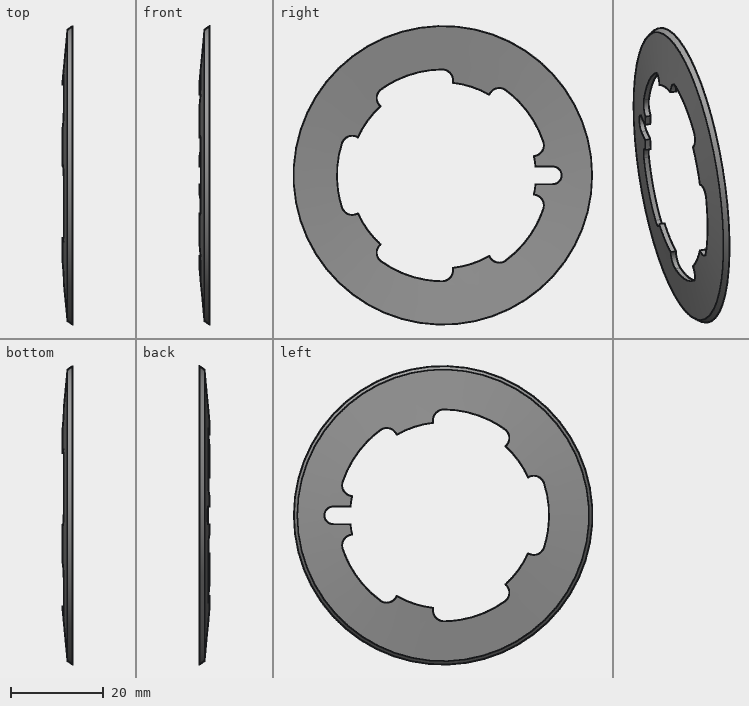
import cadquery as cq
import math

outer_radius = 32.15
bore_radius = 20.0
dish_height = 2.25
rim_depth = 1.15
rim_inset = 0.8
front_radius = outer_radius - rim_inset
wall_depth = 1.2

window_count = 5
window_radius = 22.75
window_half_angle = 24.0
window_end_radius = 2.3

slot_width = 3.7
slot_tip = 25.5

cut_start = -2 * dish_height
cut_length = 3 * dish_height


def point_at(radius, angle):
    """Point in the YZ plane, with the angle in degrees from +Y towards +Z."""
    turn = math.radians(angle)
    return radius * math.cos(turn), radius * math.sin(turn)


def cutter_plane():
    return cq.Workplane("YZ", origin=(cut_start, 0, 0))


def dished_ring():
    """Revolve the sloping wall about X."""
    return (
        cq.Workplane("XY")
        .moveTo(0, outer_radius)
        .lineTo(-rim_depth, front_radius)
        .lineTo(-dish_height, bore_radius)
        .lineTo(wall_depth - dish_height, bore_radius)
        .close()
        .revolve(360, (0, 0, 0), (1, 0, 0))
    )


def window_cutter(center_angle):
    """Sector with end circles tangent to its outer arc and meeting the lug corners."""
    end_distance = window_radius - window_end_radius
    corner_cosine = (bore_radius**2 + end_distance**2 - window_end_radius**2) / (
        2 * bore_radius * end_distance
    )
    end_angle = window_half_angle - math.degrees(math.acos(corner_cosine))
    cutter = (
        cutter_plane()
        .lineTo(*point_at(window_radius, center_angle - end_angle))
        .threePointArc(
            point_at(window_radius, center_angle),
            point_at(window_radius, center_angle + end_angle),
        )
        .close()
        .extrude(cut_length)
    )
    ends = [point_at(end_distance, center_angle + side * end_angle) for side in (-1, 1)]
    return cutter.union(cutter_plane().pushPoints(ends).circle(window_end_radius).extrude(cut_length))


def slot_cutter():
    """Slot from the axis to its round tip."""
    tip_center = slot_tip - slot_width / 2
    straight = (
        cutter_plane()
        .rect(tip_center, slot_width, centered=(False, True))
        .extrude(cut_length)
    )
    tip = cutter_plane().center(tip_center, 0).circle(slot_width / 2).extrude(cut_length)
    return straight.union(tip)


result = dished_ring()
window_pitch = 360 / window_count
for index in range(window_count):
    result = result.cut(window_cutter((index + 0.5) * window_pitch))
result = result.cut(slot_cutter())